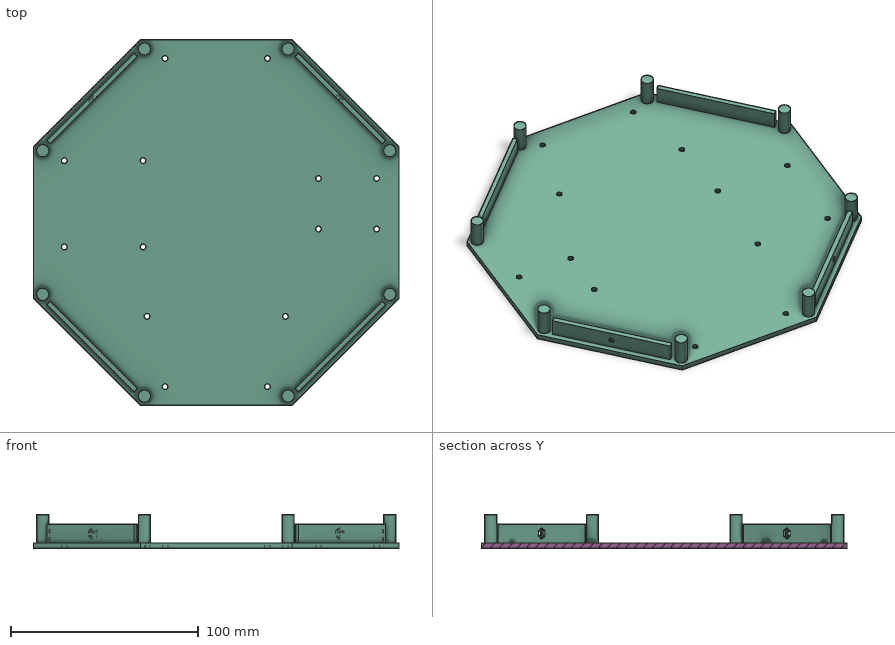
import cadquery as cq
import math

side_count = 8
corner_angle = 180 / side_count
plate_width = 195.0
plate_thickness = 3.0
plate_apothem = plate_width / 2
plate_corner_radius = plate_apothem / math.cos(math.radians(corner_angle))

post_diameter = 6.5
post_height = 15.0
post_inset = 5.4

wall_length = 65.75
wall_thickness = 2.5
wall_height = 10.0
wall_edge_gap = 2.7
wall_centre_distance = plate_apothem - wall_edge_gap - wall_thickness / 2
back_wall_angles = [45, 135]
front_wall_angles = [225, 315]

hole_diameter = 2.9
bolt_hole_z = plate_thickness + wall_height / 2
nut_sides = 6
nut_across_flats = 5.0
nut_across_corners = nut_across_flats / math.cos(math.pi / nut_sides)
nut_pocket_depth = 1.5


def rectangle_corners(x_low, x_high, y_low, y_high):
    """Four hole centres at the corners of a rectangle."""
    return [(x, y) for x in (x_low, x_high) for y in (y_low, y_high)]


edge_holes = rectangle_corners(-27.3, 27.3, -87.5, 87.5)
left_holes = rectangle_corners(-81.0, -39.0, -13.0, 33.0)
right_holes = rectangle_corners(54.5, 85.5, -3.5, 23.5)
lower_holes = [(-36.9, -50.0), (36.9, -50.0)]
mounting_holes = edge_holes + left_holes + right_holes + lower_holes


def turn_about_z(body, angle):
    return body.rotate((0, 0, 0), (0, 0, 1), angle)


def make_plate():
    plate = cq.Workplane("XY").polygon(side_count, 2 * plate_corner_radius).extrude(plate_thickness)
    plate = turn_about_z(plate, corner_angle)
    hole_tools = (
        cq.Workplane("XY")
        .pushPoints(mounting_holes)
        .circle(hole_diameter / 2)
        .extrude(plate_thickness)
    )
    return plate.cut(hole_tools)


def make_posts():
    return (
        cq.Workplane("XY")
        .polarArray(plate_corner_radius - post_inset, corner_angle, 360, side_count)
        .circle(post_diameter / 2)
        .extrude(plate_thickness + post_height)
    )


def make_wall():
    """Plain wall on the +X side, rising from the underside of the plate."""
    return (
        cq.Workplane("XY")
        .center(wall_centre_distance, 0)
        .rect(wall_thickness, wall_length)
        .extrude(plate_thickness + wall_height)
    )


def make_bolted_wall():
    """Wall on the +X side with a bolt hole and a nut pocket that has one corner pointing up."""
    wall = make_wall()
    inner_face = wall.faces("<X").workplane(origin=(0, 0, bolt_hole_z))
    bolt_hole = inner_face.circle(hole_diameter / 2).extrude(-wall_thickness, combine=False)
    nut_pocket = (
        inner_face.transformed(rotate=(0, 0, 90))
        .polygon(nut_sides, nut_across_corners)
        .extrude(-nut_pocket_depth, combine=False)
    )
    return wall.cut(bolt_hole).cut(nut_pocket)


result = make_plate().union(make_posts())
for wall_angle in back_wall_angles:
    result = result.union(turn_about_z(make_bolted_wall(), wall_angle))
for wall_angle in front_wall_angles:
    result = result.union(turn_about_z(make_wall(), wall_angle))